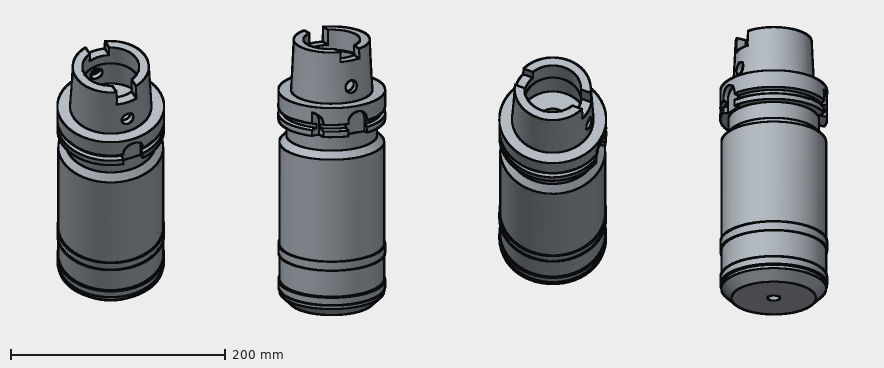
import cadquery as cq
import math

TOTAL_HEIGHT = 260.0
TAPER_LENGTH = 50.0
FLANGE_LENGTH = 29.0
FLANGE_TOP = TOTAL_HEIGHT - TAPER_LENGTH
FLANGE_BOTTOM = FLANGE_TOP - FLANGE_LENGTH
NECK_BOTTOM = 164.9

FLANGE_RADIUS = 50.0
BODY_RADIUS = 49.1
NECK_RADIUS = 42.5
NOSE_RADIUS = 39.5
SHOULDER_BOTTOM = NECK_BOTTOM - (BODY_RADIUS - NECK_RADIUS)
NOSE_CHAMFER = BODY_RADIUS - NOSE_RADIUS

TAPER_BASE_RADIUS = 38.15
TAPER_TOP_RADIUS = TAPER_BASE_RADIUS - TAPER_LENGTH / 20.0

GROOVE_CENTRE = FLANGE_TOP - 20.0
GROOVE_WIDTH = 6.5
GROOVE_FLOOR_RADIUS = 46.0
GROOVE_FLANK_ANGLE = 20.0

BAND_HEIGHT = 9.0
PLAIN_BAND_BOTTOM = 48.0
BEVELLED_BAND_BOTTOM = 13.0
BAND_BEVEL = FLANGE_RADIUS - BODY_RADIUS

MOUTH_RADIUS = 26.5
MOUTH_DEPTH = 20.0
UNDERCUT_RADIUS = 31.5
UNDERCUT_ANGLE = 30.0
CAVITY_DEPTH = TAPER_LENGTH
SEAT_RADIUS = 12.0
SEAT_DEPTH = 20.0
COOLANT_HOLE_RADIUS = 6.0

DRIVE_SLOT_WIDTH = 20.0
SHALLOW_SLOT_DEPTH = 9.5
DEEP_SLOT_DEPTH = 15.0
ACCESS_HOLE_DIAMETER = 12.0
ACCESS_HOLE_DEPTH = 35.0

KEYWAY_WIDTH = 20.0
KEYWAY_TOP_OFFSET = 5.5
KEYWAY_FLOOR = 44.0

NOTCH_CORNER = 31.2
NOTCH_ARCH_RADIUS = 10.0
NOTCH_TOP_OFFSET = KEYWAY_TOP_OFFSET

KEYWAY_OVERRUN = 5.0


def make_outer_body():
    flank = (FLANGE_RADIUS - GROOVE_FLOOR_RADIUS) * math.tan(math.radians(GROOVE_FLANK_ANGLE))
    groove_top = GROOVE_CENTRE + GROOVE_WIDTH / 2
    groove_bottom = GROOVE_CENTRE - GROOVE_WIDTH / 2
    profile = [
        (0, 0),
        (NOSE_RADIUS, 0),
        (BODY_RADIUS, NOSE_CHAMFER),
        (BODY_RADIUS, SHOULDER_BOTTOM),
        (NECK_RADIUS, NECK_BOTTOM),
        (NECK_RADIUS, FLANGE_BOTTOM),
        (FLANGE_RADIUS, FLANGE_BOTTOM),
        (FLANGE_RADIUS, groove_bottom),
        (GROOVE_FLOOR_RADIUS, groove_bottom + flank),
        (GROOVE_FLOOR_RADIUS, groove_top - flank),
        (FLANGE_RADIUS, groove_top),
        (FLANGE_RADIUS, FLANGE_TOP),
        (TAPER_BASE_RADIUS, FLANGE_TOP),
        (TAPER_TOP_RADIUS, TOTAL_HEIGHT),
        (0, TOTAL_HEIGHT),
    ]
    return cq.Workplane("XZ").polyline(profile).close().revolve(360, (0, 0), (0, 1))


def make_band(bottom, bevel=0.0):
    band = cq.Workplane("XY").workplane(offset=bottom).circle(FLANGE_RADIUS).extrude(BAND_HEIGHT)
    if bevel:
        band = band.edges("%CIRCLE").chamfer(bevel)
    return band


def make_bore():
    undercut_rise = (UNDERCUT_RADIUS - MOUTH_RADIUS) * math.tan(math.radians(UNDERCUT_ANGLE))
    cavity_floor = TOTAL_HEIGHT - CAVITY_DEPTH
    mouth_bottom = TOTAL_HEIGHT - MOUTH_DEPTH
    seat_floor = cavity_floor - SEAT_DEPTH
    profile = [
        (0, 0),
        (COOLANT_HOLE_RADIUS, 0),
        (COOLANT_HOLE_RADIUS, seat_floor),
        (SEAT_RADIUS, seat_floor),
        (SEAT_RADIUS, cavity_floor),
        (UNDERCUT_RADIUS, cavity_floor),
        (UNDERCUT_RADIUS, mouth_bottom - undercut_rise),
        (MOUTH_RADIUS, mouth_bottom),
        (MOUTH_RADIUS, TOTAL_HEIGHT),
        (0, TOTAL_HEIGHT),
    ]
    return cq.Workplane("XZ").polyline(profile).close().revolve(360, (0, 0), (0, 1))


def make_drive_slot(side, depth):
    """Slot through the shank wall on the +X (side = 1) or -X (side = -1) side."""
    return (
        cq.Workplane("XY")
        .workplane(offset=TOTAL_HEIGHT - depth)
        .center(side * FLANGE_RADIUS / 2, 0)
        .rect(FLANGE_RADIUS, DRIVE_SLOT_WIDTH)
        .extrude(depth)
    )


def make_access_hole():
    return (
        cq.Workplane("YZ")
        .center(0, TOTAL_HEIGHT - ACCESS_HOLE_DEPTH)
        .circle(ACCESS_HOLE_DIAMETER / 2)
        .extrude(FLANGE_RADIUS, both=True)
    )


def make_keyway(side):
    """Round-topped keyway cut from the +X (side = 1) or -X (side = -1) face of the flange."""
    half_width = KEYWAY_WIDTH / 2
    arch_top = FLANGE_TOP - KEYWAY_TOP_OFFSET
    arch_centre = arch_top - half_width
    return (
        cq.Workplane("YZ")
        .workplane(offset=side * KEYWAY_FLOOR)
        .moveTo(-half_width, FLANGE_BOTTOM)
        .lineTo(-half_width, arch_centre)
        .threePointArc((0, arch_top), (half_width, arch_centre))
        .lineTo(half_width, FLANGE_BOTTOM)
        .close()
        .extrude(side * (FLANGE_RADIUS - KEYWAY_FLOOR + KEYWAY_OVERRUN))
    )


def make_orientation_notch():
    """Half-arched notch at the -X +Y corner, with a floor facing -X and a side wall facing +Y."""
    arch_top = FLANGE_TOP - NOTCH_TOP_OFFSET
    arch_centre_z = arch_top - NOTCH_ARCH_RADIUS
    arch_centre_y = NOTCH_CORNER + NOTCH_ARCH_RADIUS
    arch_diagonal = NOTCH_ARCH_RADIUS * math.sqrt(0.5)
    return (
        cq.Workplane("YZ")
        .workplane(offset=-NOTCH_CORNER)
        .moveTo(NOTCH_CORNER, FLANGE_BOTTOM)
        .lineTo(NOTCH_CORNER, arch_centre_z)
        .threePointArc(
            (arch_centre_y - arch_diagonal, arch_centre_z + arch_diagonal),
            (arch_centre_y, arch_top),
        )
        .lineTo(arch_centre_y, FLANGE_BOTTOM)
        .close()
        .extrude(NOTCH_CORNER - FLANGE_RADIUS)
    )


result = make_outer_body()
result = result.union(make_band(PLAIN_BAND_BOTTOM))
result = result.union(make_band(BEVELLED_BAND_BOTTOM, BAND_BEVEL))
result = result.cut(make_bore())
result = result.cut(make_drive_slot(-1, SHALLOW_SLOT_DEPTH))
result = result.cut(make_drive_slot(1, DEEP_SLOT_DEPTH))
result = result.cut(make_access_hole())
for keyway_side in (-1, 1):
    result = result.cut(make_keyway(keyway_side))
result = result.cut(make_orientation_notch())